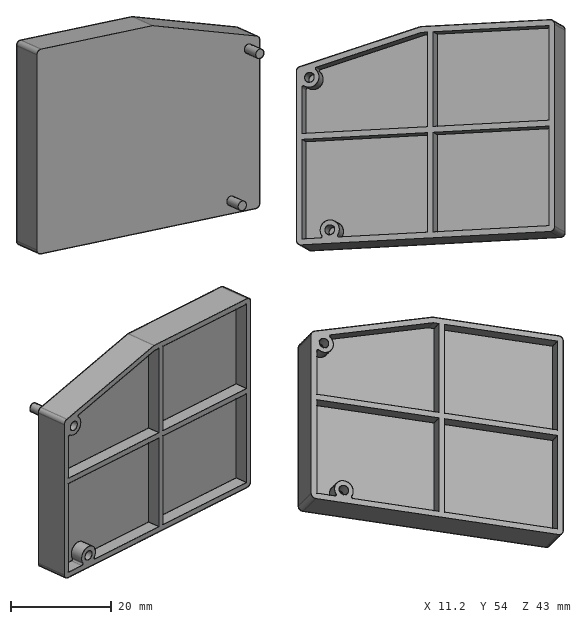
import cadquery as cq
import math

thickness = 7.2
length = 54.0
height = 43.0
slope_run = 26.0
slope_drop = 7.0
corner_radius = 1.0

wall = 1.2
rib_width = 1.2
pocket_depth = 2.85
upright_rib_y = 26.0
level_rib_z = 22.0

boss_radius = 2.0
boss_hole_radius = 1.0
boss_hole_depth = pocket_depth
boss_root_fillet = 0.3
pin_radius = 1.0
pin_length = 4.0
boss_inset = 2.75
upper_boss_z = 33.9
lower_boss_offset = 7.0
upper_boss = (length - boss_inset, upper_boss_z)
lower_boss = (length - lower_boss_offset, boss_inset)
boss_centers = [upper_boss, lower_boss]


def plate_outline():
    """Five-sided outline on the -X face, with sharp corners."""
    return cq.Workplane("YZ").polyline([
        (0, 0),
        (length, 0),
        (length, height - slope_drop),
        (length - slope_run, height),
        (0, height),
    ]).close()


def cylinders(start_x, radius, depth):
    """One cylinder along +X on each boss axis."""
    plane = cq.Workplane("YZ", origin=(start_x, 0, 0))
    return plane.pushPoints(boss_centers).circle(radius).extrude(depth)


def make_plate():
    plate = plate_outline().extrude(thickness)
    end_corners = plate.faces("<Y or >Y").edges("|X")
    return end_corners.fillet(corner_radius)


def make_ribs():
    upright = cq.Workplane("XY").box(pocket_depth, rib_width, height, centered=(False, True, False))
    level = cq.Workplane("XY").box(pocket_depth, length, rib_width, centered=(False, False, True))
    return upright.translate((0, upright_rib_y, 0)).union(level.translate((0, 0, level_rib_z)))


def is_boss_root(edge):
    """True where a boss meets a wall; the cylinder seam, level with the axis, is left out."""
    tolerance = 1e-3
    point = edge.Center()
    for y, z in boss_centers:
        on_boss = abs(math.hypot(point.y - y, point.z - z) - boss_radius) < tolerance
        if on_boss and abs(point.z - z) > tolerance:
            return True
    return False


def make_pockets():
    """Volume removed from the plate: the recess less its ribs and bosses."""
    recess = plate_outline().offset2D(-wall, "intersection").extrude(pocket_depth)
    pockets = recess.cut(make_ribs()).cut(cylinders(0, boss_radius, pocket_depth))
    return pockets.edges("|X").filter(is_boss_root).fillet(boss_root_fillet)


result = (
    make_plate()
    .cut(make_pockets())
    .cut(cylinders(0, boss_hole_radius, boss_hole_depth))
    .union(cylinders(thickness, pin_radius, pin_length))
)